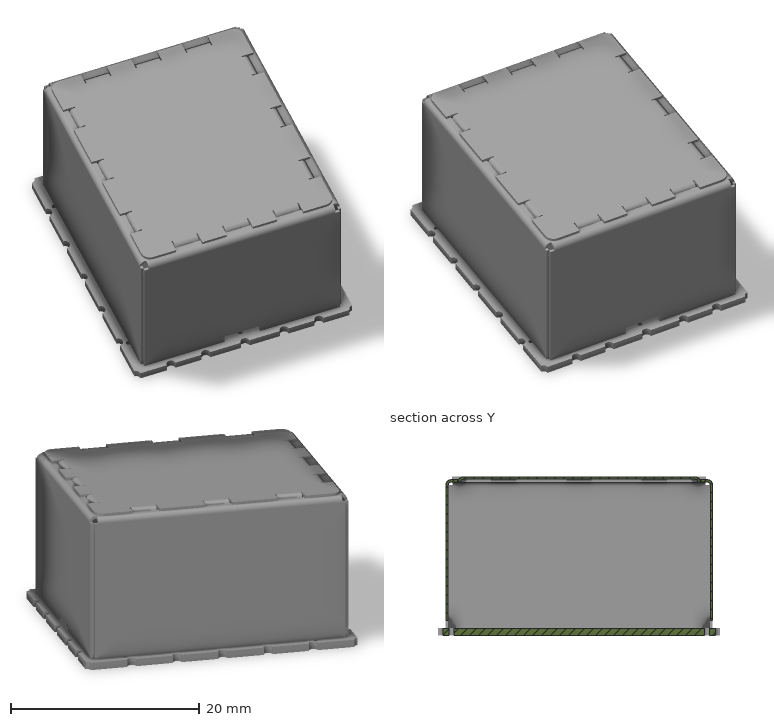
import cadquery as cq

BOARD_LENGTH = 30.0
BOARD_WIDTH = 25.0
BOARD_THICKNESS = 0.8
TOTAL_HEIGHT = 16.92
EDGE_NOTCH_DIAMETER = 1.0
NOTCH_XS = [-10.0, -5.0, 0, 5.0, 10.0]
NOTCH_YS = [-8.5, -4.5, 0, 4.5, 8.5]
VIA_DIAMETER = 0.5
VIA_X, VIA_Y = 10.5, 11.55
SLOT_VIA_X = 13.6

SHEET = 0.3
BEND_RADIUS = 0.6
INNER_BEND_RADIUS = BEND_RADIUS - SHEET
CAN_LENGTH = 28.4
CAN_WIDTH = 22.95
CAN_TOP = TOTAL_HEIGHT - SHEET
CAN_HEIGHT = CAN_TOP - BOARD_THICKNESS
CORNER_NOTCH_X = 0.4
CORNER_NOTCH_Y = 0.27
BEND_RELIEF = 0.75
SLOT_WIDTH = 4.1
SLOT_HEIGHT = 0.8

LID_LENGTH = 27.0
LID_WIDTH = 21.8
LID_CORNER_RADIUS = 1.0

RIM_EXPOSED = 0.57
TAB_CLEARANCE = 0.03
OPENING_LENGTH = LID_LENGTH - 2 * RIM_EXPOSED
OPENING_WIDTH = LID_WIDTH - 2 * RIM_EXPOSED
TAB_SLIT = 0.15
TAB_SLIT_OVERRUN = 0.15
CUTOUT_WIDTH = 3.0
CUTOUT_DEPTH = RIM_EXPOSED + TAB_CLEARANCE + BEND_RADIUS + TAB_SLIT_OVERRUN
TAB_WIDTH = CUTOUT_WIDTH - 2 * TAB_SLIT
TAB_XS = [-8.0, 0, 8.0]
TAB_YS = [-5.8, 0, 5.8]


def block(length, width, height, base):
    """Box centred on the Z axis, standing on the given height."""
    return cq.Workplane("XY").box(length, width, height, (True, True, False)).translate((0, 0, base))


def corners(length, width):
    """The four corners of a rectangle centred on the Z axis."""
    return [(sx * length / 2, sy * width / 2) for sx in (-1, 1) for sy in (-1, 1)]


def make_board():
    board = block(BOARD_LENGTH, BOARD_WIDTH, BOARD_THICKNESS, 0)
    notches = corners(BOARD_LENGTH, BOARD_WIDTH)
    notches += [(x, side * BOARD_WIDTH / 2) for x in NOTCH_XS for side in (-1, 1)]
    notches += [(side * BOARD_LENGTH / 2, y) for y in NOTCH_YS for side in (-1, 1)]
    vias = corners(2 * VIA_X, 2 * VIA_Y) + [(-SLOT_VIA_X, 0), (SLOT_VIA_X, 0)]
    for diameter, points in ((EDGE_NOTCH_DIAMETER, notches), (VIA_DIAMETER, vias)):
        board = board.cut(cq.Workplane("XY").pushPoints(points).circle(diameter / 2).extrude(BOARD_THICKNESS))
    return board


def make_can():
    can = block(CAN_LENGTH, CAN_WIDTH, CAN_HEIGHT, BOARD_THICKNESS).faces(">Z").edges().fillet(BEND_RADIUS)
    cavity = block(CAN_LENGTH - 2 * SHEET, CAN_WIDTH - 2 * SHEET, CAN_HEIGHT - SHEET, BOARD_THICKNESS)
    can = can.cut(cavity.faces(">Z").edges().fillet(INNER_BEND_RADIUS))
    can = can.cut(block(OPENING_LENGTH, OPENING_WIDTH, 2 * SHEET, CAN_TOP - SHEET))
    can_corners = corners(CAN_LENGTH, CAN_WIDTH)
    notches = cq.Workplane("XY").workplane(offset=BOARD_THICKNESS).pushPoints(can_corners)
    can = can.cut(notches.rect(2 * CORNER_NOTCH_X, 2 * CORNER_NOTCH_Y).extrude(CAN_HEIGHT))
    reliefs = cq.Workplane("XY").workplane(offset=CAN_TOP - BEND_RADIUS).pushPoints(can_corners)
    can = can.cut(reliefs.rect(2 * BEND_RELIEF, 2 * BEND_RELIEF).extrude(BEND_RADIUS))
    return can.cut(block(CAN_LENGTH, SLOT_WIDTH, SLOT_HEIGHT, BOARD_THICKNESS))


def lid_edge_places():
    """Angle about Z, position along the edge and distance of the lid edge, for every tab."""
    places = [(angle, x, LID_WIDTH / 2) for angle in (0, 180) for x in TAB_XS]
    return places + [(angle, y, LID_LENGTH / 2) for angle in (90, 270) for y in TAB_YS]


def make_tab(edge):
    """Quarter-round tab at the +Y edge of the lid, curving down from its top face."""
    bend_start = edge - RIM_EXPOSED - TAB_CLEARANCE - BEND_RADIUS
    bend_z = TOTAL_HEIGHT - BEND_RADIUS
    root = bend_start - TAB_SLIT_OVERRUN
    profile = (
        cq.Workplane("YZ")
        .moveTo(root, TOTAL_HEIGHT)
        .lineTo(bend_start, TOTAL_HEIGHT)
        .radiusArc((bend_start + BEND_RADIUS, bend_z), BEND_RADIUS)
        .lineTo(bend_start + INNER_BEND_RADIUS, bend_z)
        .radiusArc((bend_start, CAN_TOP), -INNER_BEND_RADIUS)
        .lineTo(root, CAN_TOP)
        .close()
    )
    return profile.extrude(TAB_WIDTH / 2, both=True)


def make_lid():
    lid = block(LID_LENGTH, LID_WIDTH, SHEET, CAN_TOP).edges("|Z").fillet(LID_CORNER_RADIUS)
    for angle, along, edge in lid_edge_places():
        cutout = block(CUTOUT_WIDTH, 2 * CUTOUT_DEPTH, SHEET, CAN_TOP).translate((along, edge, 0))
        lid = lid.cut(cutout.rotate((0, 0, 0), (0, 0, 1), angle))
        tab = make_tab(edge).translate((along, 0, 0))
        lid = lid.union(tab.rotate((0, 0, 0), (0, 0, 1), angle))
    return lid


result = make_board().union(make_can()).union(make_lid())